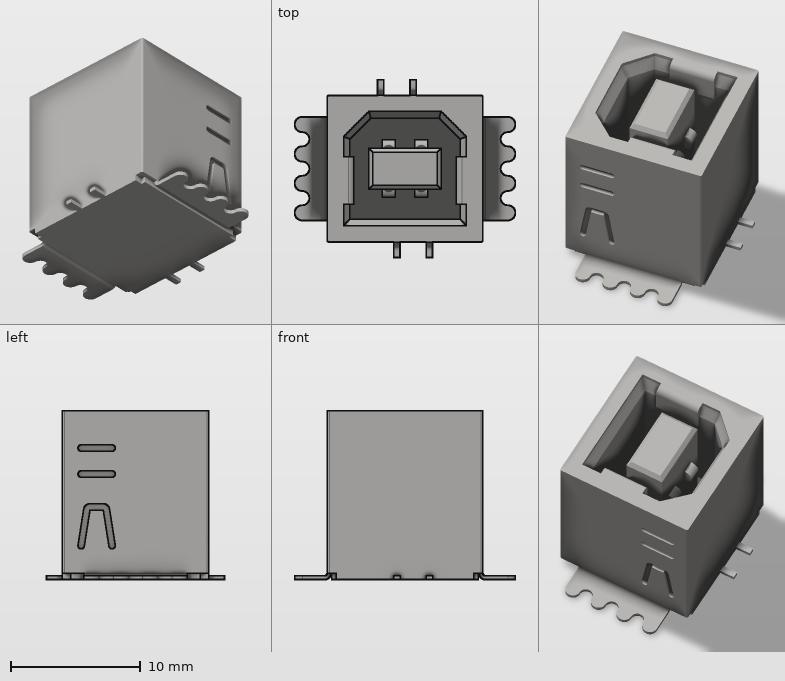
import cadquery as cq
import math

overall_length = 17.0
overall_width = 13.7
height = 13.0

sheet = 0.3
body_length = 12.0
body_width = 11.29
corner_radius = 0.15
shell_bottom = 0.5

base_length = 11.29
base_width = 9.93
end_wall_length = 10.57

mouth_half_length = 4.73
mouth_rear = 4.42
mouth_front = -4.39
mouth_corner_cut = 1.95
cavity_half_length = 4.23
cavity_rear = 3.88
cavity_front = -3.88
cavity_corner_cut = 1.6
lead_in_depth = 0.95
cavity_floor = 3.0

tab_rear = 0.94
tab_front = -2.74
tab_bend_radius = 0.46
tab_bottom = 10.71

tongue_length = 5.58
tongue_width = 3.16
tongue_top = height - sheet
tongue_chamfer = 0.3
contact_pitch = 2.5
contact_width = 1.0
contact_bulge = 0.63
contact_z = 8.5

pin_width = 0.51
pin_offset = contact_pitch / 4

foot_width = 7.99
lobe_count = 4
lobe_radius = 0.6

slot_width = 0.5
slot_length = 2.87
slot_y = 3.0
slot_heights = (10.13, 8.13)
leg_end_z = 2.62
arch_inner_top = 5.35
arch_inner_half_width = 0.51

diagonal = math.sqrt(0.5)


def block(length, width, bottom, top):
    """Box centred on X and Y between two heights."""
    return cq.Workplane("XY").workplane(offset=bottom).rect(length, width).extrude(top - bottom)


def both_sides(shape):
    """Shape joined with its mirror image across the YZ plane."""
    return shape.union(shape.mirror("YZ"))


def opening_outline(half_length, rear, front, corner_cut):
    """Corners of the plug outline: a rectangle with its two rear corners cut off at 45 degrees."""
    return [
        (-half_length, front),
        (half_length, front),
        (half_length, rear - corner_cut),
        (half_length - corner_cut, rear),
        (-half_length + corner_cut, rear),
        (-half_length, rear - corner_cut),
    ]


def make_body():
    shell = block(body_length, body_width, shell_bottom, height)
    shell = shell.edges("|Z").fillet(corner_radius)
    base = block(base_length, base_width, 0, shell_bottom)
    end_walls = block(end_wall_length, body_width, 0, shell_bottom)
    return shell.union(base).union(end_walls)


def make_opening():
    mouth = opening_outline(mouth_half_length, mouth_rear, mouth_front, mouth_corner_cut)
    cavity = opening_outline(cavity_half_length, cavity_rear, cavity_front, cavity_corner_cut)
    lip_bottom = height - sheet
    lead_in_bottom = lip_bottom - lead_in_depth
    lip = cq.Workplane("XY").workplane(offset=lip_bottom).polyline(mouth).close().extrude(sheet)
    lead_in = (
        cq.Workplane("XY").workplane(offset=lead_in_bottom).polyline(cavity).close()
        .workplane(offset=lead_in_depth).polyline(mouth).close()
        .loft(ruled=True)
    )
    straight = (
        cq.Workplane("XY").workplane(offset=cavity_floor).polyline(cavity).close()
        .extrude(lead_in_bottom - cavity_floor)
    )
    return lip.union(lead_in).union(straight)


def make_tongue():
    tongue = block(tongue_length, tongue_width, cavity_floor, tongue_top)
    tongue = tongue.faces(">Z").chamfer(tongue_chamfer)
    face = tongue_width / 2
    bows = (
        cq.Workplane("YZ")
        .moveTo(face, contact_z - contact_bulge)
        .threePointArc((face + contact_bulge, contact_z), (face, contact_z + contact_bulge))
        .lineTo(-face, contact_z + contact_bulge)
        .threePointArc((-face - contact_bulge, contact_z), (-face, contact_z - contact_bulge))
        .close()
        .extrude(contact_width / 2, both=True)
    )
    for side in (-1, 1):
        tongue = tongue.union(bows.translate((side * contact_pitch / 2, 0, 0)))
    return tongue


def make_spring_tabs():
    """Tabs that leave the top plate, bend down and lie against the cavity side walls."""
    inner_x = cavity_half_length - sheet
    bend_x = inner_x + tab_bend_radius
    bend_z = height - tab_bend_radius
    inner_bend = tab_bend_radius - sheet
    tab = (
        cq.Workplane("XZ", origin=(0, tab_rear, 0))
        .moveTo(mouth_half_length, height)
        .lineTo(bend_x, height)
        .threePointArc(
            (bend_x - tab_bend_radius * diagonal, bend_z + tab_bend_radius * diagonal),
            (inner_x, bend_z),
        )
        .lineTo(inner_x, tab_bottom)
        .lineTo(cavity_half_length, tab_bottom)
        .lineTo(cavity_half_length, bend_z)
        .threePointArc(
            (bend_x - inner_bend * diagonal, bend_z + inner_bend * diagonal),
            (bend_x, height - sheet),
        )
        .lineTo(mouth_half_length, height - sheet)
        .close()
        .extrude(tab_rear - tab_front)
    )
    return both_sides(tab)


def make_feet():
    """Feet bent outward from the bottom edges of the side walls, with scalloped tips."""
    wall_x = body_length / 2
    inner_bend = shell_bottom - sheet
    bend_x = wall_x + inner_bend
    tip_x = overall_length / 2
    lobe_x = tip_x - lobe_radius

    bent_strip = (
        cq.Workplane("XZ")
        .moveTo(wall_x, shell_bottom)
        .threePointArc(
            (bend_x - inner_bend * diagonal, shell_bottom - inner_bend * diagonal),
            (bend_x, sheet),
        )
        .lineTo(lobe_x, sheet)
        .lineTo(lobe_x, 0)
        .lineTo(bend_x, 0)
        .threePointArc(
            (bend_x - shell_bottom * diagonal, shell_bottom * (1 - diagonal)),
            (wall_x - sheet, shell_bottom),
        )
        .close()
        .extrude(foot_width / 2, both=True)
    )

    lobe_pitch = (foot_width - 2 * lobe_radius) / (lobe_count - 1)
    notch_radius = lobe_pitch / 2 - lobe_radius
    first_lobe_y = -foot_width / 2 + lobe_radius
    foot = bent_strip
    for i in range(lobe_count):
        lobe_y = first_lobe_y + i * lobe_pitch
        foot = foot.union(cq.Workplane("XY").center(lobe_x, lobe_y).circle(lobe_radius).extrude(sheet))
    for i in range(lobe_count - 1):
        notch_y = first_lobe_y + (i + 0.5) * lobe_pitch
        foot = foot.cut(cq.Workplane("XY").center(lobe_x, notch_y).circle(notch_radius).extrude(sheet))
    return both_sides(foot)


def make_pins():
    """Two rear pins and two front pins lying at the bottom of the part."""
    pin_length = (overall_width - base_width) / 2
    pins = cq.Workplane()
    for side in (-1, 1):
        for turn in (-1, 1):
            x = turn * contact_pitch / 2 - side * pin_offset
            y = side * (overall_width - pin_length) / 2
            pins = pins.union(block(pin_width, pin_length, 0, sheet).translate((x, y, 0)))
    return pins


def make_side_slots():
    """Two straight slots and an arch-shaped slot, one sheet deep in each side wall."""
    wall = cq.Workplane("YZ", origin=(-body_length / 2, 0, 0))
    slot_centres = [(slot_y, z) for z in slot_heights]
    slots = wall.pushPoints(slot_centres).slot2D(slot_length, slot_width).extrude(sheet)

    radius = slot_width / 2
    end_offset = slot_length / 2 - radius
    rise = arch_inner_top - leg_end_z
    run = end_offset - arch_inner_half_width
    lean = math.atan2(run, rise) - math.asin(radius / math.hypot(run, rise))
    along = (math.sin(lean), -math.cos(lean))
    outward = (math.cos(lean), math.sin(lean))
    bisector = math.pi / 4 + lean / 2
    inner_end = (end_offset - radius * outward[0], leg_end_z - radius * outward[1])
    outer_end = (end_offset + radius * outward[0], leg_end_z + radius * outward[1])
    leg_tip = (end_offset + radius * along[0], leg_end_z + radius * along[1])
    shoulder_side = (
        arch_inner_half_width + slot_width * outward[0],
        arch_inner_top + slot_width * outward[1],
    )
    shoulder_middle = (
        arch_inner_half_width + slot_width * math.cos(bisector),
        arch_inner_top + slot_width * math.sin(bisector),
    )
    half_arch = (
        wall.center(slot_y, 0)
        .moveTo(0, arch_inner_top)
        .lineTo(arch_inner_half_width, arch_inner_top)
        .lineTo(*inner_end)
        .threePointArc(leg_tip, outer_end)
        .lineTo(*shoulder_side)
        .threePointArc(shoulder_middle, (arch_inner_half_width, arch_inner_top + slot_width))
        .lineTo(0, arch_inner_top + slot_width)
        .close()
        .extrude(sheet)
    )
    arch = half_arch.union(half_arch.mirror("XZ", (0, slot_y, 0)))
    return both_sides(slots.union(arch))


result = (
    make_body()
    .cut(make_opening())
    .union(make_tongue())
    .union(make_spring_tabs())
    .union(make_feet())
    .union(make_pins())
    .cut(make_side_slots())
    .solids()
)